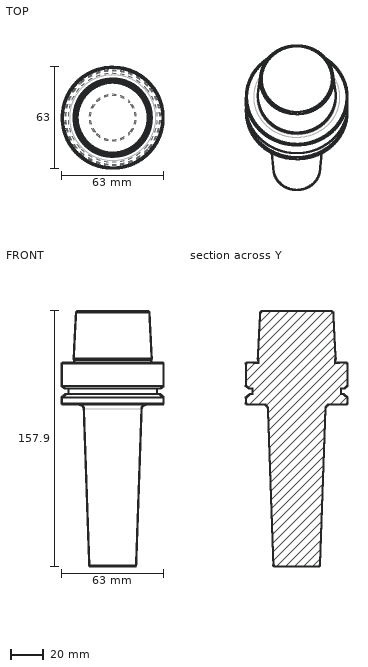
import cadquery as cq

total_height = 157.9
flange_bottom = 100.0
flange_top = 126.0
groove_bottom = 106.6
groove_top = 109.9

nose_tip_radius = 14.5
nose_root_radius = 18.0
nose_chamfer = 0.8
nose_fillet = 2.7

flange_diameter = 63.0
flange_radius = flange_diameter / 2
flange_chamfer = 0.8
groove_radius = 27.5
upper_lip_radius = 29.5
upper_lip_height = 1.6
lower_lip_radius = 28.9
lower_lip_height = 2.0

relief_outer_radius = 26.5
relief_inner_radius = 24.6
relief_depth = 0.3

neck_radius = 23.8
neck_height = 1.6
shank_root_radius = 24.2
shank_root_step = 1.0
shank_top_radius = 22.7
shank_chamfer_width = 1.1
shank_chamfer_height = 1.1

relief_floor = flange_top - relief_depth
neck_top = flange_top + neck_height

profile = (
    cq.Workplane("XZ")
    .moveTo(0, 0)
    .lineTo(nose_tip_radius - nose_chamfer, 0)
    .lineTo(nose_tip_radius, nose_chamfer)
    .lineTo(nose_root_radius, flange_bottom)
    .lineTo(flange_radius - flange_chamfer, flange_bottom)
    .lineTo(flange_radius, flange_bottom + flange_chamfer)
    .lineTo(flange_radius, groove_bottom - lower_lip_height)
    .lineTo(lower_lip_radius, groove_bottom)
    .lineTo(groove_radius, groove_bottom)
    .lineTo(groove_radius, groove_top)
    .lineTo(upper_lip_radius, groove_top)
    .lineTo(flange_radius, groove_top + upper_lip_height)
    .lineTo(flange_radius, flange_top - flange_chamfer)
    .lineTo(flange_radius - flange_chamfer, flange_top)
    .lineTo(relief_outer_radius, flange_top)
    .lineTo(relief_inner_radius, relief_floor)
    .lineTo(neck_radius, relief_floor)
    .lineTo(neck_radius, neck_top)
    .lineTo(shank_root_radius, neck_top + shank_root_step)
    .lineTo(shank_top_radius, total_height - shank_chamfer_height)
    .lineTo(shank_top_radius - shank_chamfer_width, total_height)
    .lineTo(0, total_height)
    .close()
)
body = profile.revolve(360, (0, 0, 0), (0, 1, 0))

selection_margin = 0.2
root_edge = cq.selectors.BoxSelector(
    (-selection_margin, -selection_margin, flange_bottom - selection_margin),
    (selection_margin, selection_margin, flange_bottom + selection_margin),
)
root_edges = body.edges("%CIRCLE").edges(root_edge).edges(cq.selectors.RadiusNthSelector(0))
result = root_edges.fillet(nose_fillet)